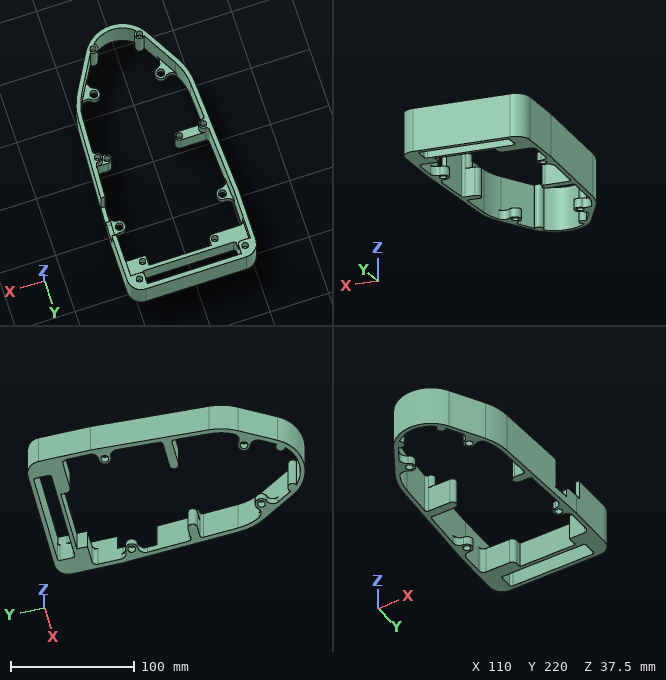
import cadquery as cq
import math

length = 220.0
half_width = 55.0
height = 37.5
wall = 4.0
corner_radius = 12.0
taper_start_y = 164.3
taper_angle = math.radians(3)
flank_angle = math.radians(30)
shoulder_radius = 50.0
nose_radius = 30.5

deck_height = 24.6
deck_front_y = 189.5
window_half_width = 40.0
window_front_y = 201.5
window_rear_y = length - wall
window_radius = 2.0
recess_left_x = -20.2
recess_right_x = 32.8
recess_rear_y = 198.2
deck_round = 4.5
deck_wall_fillet = 4.0

pillar_front_y = 205.7
pillar_round = 2.9

screw_diameter = 5.0
screw_radius = screw_diameter / 2
screw_depth = 12.0
drill_point_half_angle = math.radians(59)
side_screw_x = 45.0
pillar_screw_y = 210.5
left_inner_screw_x = -24.6
right_inner_screw_x = 37.0
deck_screw_y = 193.8
nose_screw_x = 19.8
nose_screw_y = 14.5
nose_boss_radius = 4.0

arm_y = 102.5
arm_width = 7.7
arm_radius = arm_width / 2
arm_wall_fillet = 2.2

ear_height = 8.0
ear_radius = 5.0
ear_hole_radius = 3.0
ear_neck_radius = 6.2
rear_ear = (44.0, 155.3)
front_ear = (28.5, 43.0)

opening_front_y = 136.0
opening_rear_y = 169.0
opening_floor = 8.1
shelf_front_y = 150.7
shelf_height = 18.7
shelf_round = 4.0

apex_y = nose_radius - nose_radius / math.sin(flank_angle)
shoulder_y = (
    half_width - taper_start_y * math.tan(taper_angle) + apex_y * math.tan(flank_angle)
) / (math.tan(flank_angle) - math.tan(taper_angle))
shoulder_x = (shoulder_y - apex_y) * math.tan(flank_angle)


def box(x_min, x_max, y_min, y_max, z_min, z_max):
    """Axis-aligned block between two opposite corners."""
    size = (x_max - x_min, y_max - y_min, z_max - z_min)
    return cq.Workplane("XY").box(*size, centered=False).translate((x_min, y_min, z_min))


def cylinder(x, y, radius, top):
    """Upright cylinder standing on Z = 0."""
    return cq.Workplane("XY").center(x, y).circle(radius).extrude(top)


def near(x, y):
    """Selector for upright edges close to a point in plan."""
    reach = 0.7
    return cq.selectors.BoxSelector((x - reach, y - reach, 0), (x + reach, y + reach, height))


def inner_wall_x(y):
    """X of the inner face of the tapered +X wall at a given Y."""
    return half_width - (taper_start_y - y) * math.tan(taper_angle) - wall / math.cos(taper_angle)


def make_envelope():
    """Solid filling the whole outer outline."""
    right_side = [
        (half_width, length),
        (half_width, taper_start_y),
        (shoulder_x, shoulder_y),
    ]
    left_side = [(-x, y) for x, y in reversed(right_side)]
    solid = cq.Workplane("XY").polyline(right_side + [(0, apex_y)] + left_side).close().extrude(height)
    solid = solid.edges("|Z").edges(">Y").fillet(corner_radius)
    for side in (-1, 1):
        solid = solid.edges("|Z").edges(near(side * shoulder_x, shoulder_y)).fillet(shoulder_radius)
    return solid.edges("|Z").edges(near(0, apex_y)).fillet(nose_radius)


def make_deck():
    """Lower rear deck with the window and the front recess."""
    deck = box(-half_width, half_width, deck_front_y, length, 0, deck_height)
    recess = box(recess_left_x, recess_right_x, deck_front_y, recess_rear_y, 0, deck_height)
    window = box(-window_half_width, window_half_width, window_front_y, window_rear_y, 0, deck_height)
    deck = deck.cut(recess).cut(window.edges("|Z").fillet(window_radius))
    return deck.edges("|Z").edges(near(recess_left_x, deck_front_y)).fillet(deck_round)


def make_pillar(side):
    """Upper part of a rear corner pillar, rounded on its free edge and standing on the deck."""
    pillar = box(window_half_width, half_width, pillar_front_y, length, deck_height, height)
    pillar = pillar.edges("|Z").edges(near(window_half_width, pillar_front_y)).fillet(pillar_round)
    return pillar if side > 0 else pillar.mirror("YZ")


def make_arm(side, end_x, top):
    """Round-ended arm reaching inwards from a side wall."""
    root_x = side * (inner_wall_x(arm_y) + wall / 2)
    x_min, x_max = sorted((root_x, end_x))
    bar = box(x_min, x_max, arm_y - arm_radius, arm_y + arm_radius, 0, top)
    return bar.union(cylinder(end_x, arm_y, arm_radius, top))


def make_ear(center, wall_point, wall_angle, side):
    """Drilled ear blended into the wall by two concave arcs.

    The wall's outer face passes through wall_point and leans wall_angle from Y.
    """
    dx = wall_point[0] - center[0]
    dy = wall_point[1] - center[1]
    gap = dx * math.cos(wall_angle) - dy * math.sin(wall_angle) - wall
    arc_x = gap - ear_neck_radius
    arc_y = math.sqrt((ear_radius + ear_neck_radius) ** 2 - arc_x**2)
    root_x = gap + wall / 2
    outline = [(0, 0), (arc_x, arc_y), (root_x, arc_y), (root_x, -arc_y), (arc_x, -arc_y)]
    ear = cq.Workplane("XY").polyline(outline).close().extrude(ear_height)
    for end in (-1, 1):
        ear = ear.cut(cylinder(arc_x, end * arc_y, ear_neck_radius, ear_height))
    ear = ear.union(cylinder(0, 0, ear_radius, ear_height))
    ear = ear.cut(cylinder(0, 0, ear_hole_radius, ear_height))
    ear = ear.rotate((0, 0, 0), (0, 0, 1), -math.degrees(wall_angle))
    ear = ear.translate((center[0], center[1], 0))
    return ear if side > 0 else ear.mirror("YZ")


def make_screw_hole(x, y, top):
    """Blind drilled hole going down from height top."""
    tip = screw_depth + screw_radius / math.tan(drill_point_half_angle)
    profile = [(0, 0), (screw_radius, 0), (screw_radius, -screw_depth), (0, -tip)]
    hole = cq.Workplane("XZ").polyline(profile).close().revolve(360, (0, 0), (0, 1))
    return hole.translate((x, y, top))


def make_opening():
    """Stepped cut through the +X wall: a low floor in front, a rounded shelf behind."""
    cut_depth = half_width - inner_wall_x(opening_front_y)
    return (
        cq.Workplane("YZ")
        .moveTo(opening_front_y, height)
        .lineTo(opening_front_y, opening_floor)
        .lineTo(shelf_front_y, opening_floor)
        .lineTo(shelf_front_y, shelf_height - shelf_round)
        .radiusArc((shelf_front_y + shelf_round, shelf_height), shelf_round)
        .lineTo(opening_rear_y, shelf_height)
        .lineTo(opening_rear_y, height)
        .close()
        .extrude(cut_depth)
        .translate((half_width - cut_depth, 0, 0))
    )


envelope = make_envelope()
cavity = envelope.faces("<Z").wires().toPending().offset2D(-wall).extrude(height, combine=False)
body = envelope.cut(cavity)

body = body.union(make_deck())
for side, inner_x in ((-1, left_inner_screw_x), (1, right_inner_screw_x)):
    body = body.union(make_pillar(side))
    body = body.union(make_arm(side, inner_x, deck_height))
    body = body.union(make_arm(side, side * side_screw_x, height))
    body = body.union(cylinder(side * nose_screw_x, nose_screw_y, nose_boss_radius, height))
body = body.intersect(envelope).clean()

for side in (-1, 1):
    body = body.edges("|Z").edges(near(side * (half_width - wall), deck_front_y)).fillet(deck_wall_fillet)
    for arm_face_y in (arm_y - arm_radius, arm_y + arm_radius):
        root_x = side * inner_wall_x(arm_face_y)
        body = body.edges("|Z").edges(near(root_x, arm_face_y)).fillet(arm_wall_fillet)

for side in (-1, 1):
    body = body.union(make_ear(rear_ear, (half_width, taper_start_y), taper_angle, side))
    body = body.union(make_ear(front_ear, (0, apex_y), flank_angle, side))
body = body.cut(make_opening())
rim_screws = [(side_screw_x, pillar_screw_y), (side_screw_x, arm_y), (nose_screw_x, nose_screw_y)]
for side in (-1, 1):
    for x, y in rim_screws:
        body = body.cut(make_screw_hole(side * x, y, height))
for x in (left_inner_screw_x, right_inner_screw_x):
    for y in (deck_screw_y, arm_y):
        body = body.cut(make_screw_hole(x, y, deck_height))

result = body.clean()